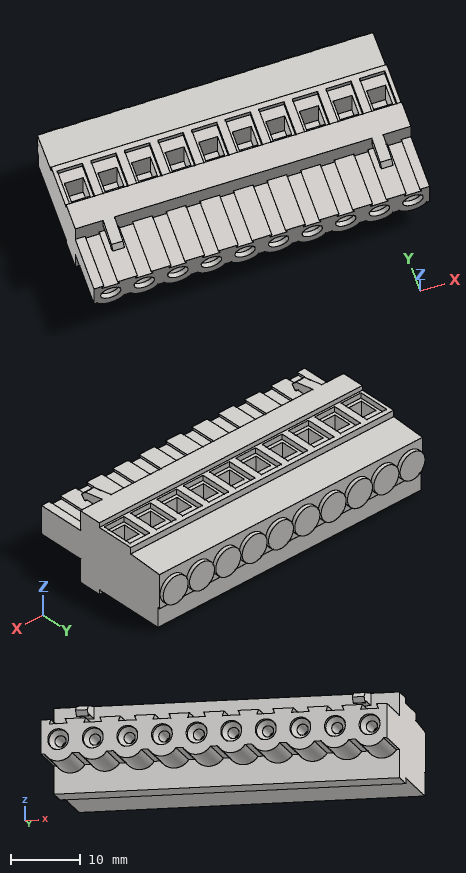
import cadquery as cq

poles = 10
length = 50.75
pitch = length / poles
pole_centers = [pitch * (i + 0.5) for i in range(poles)]

height = 12.6
flange_front = 8.3
flange_back = 12.4
body_bottom = 0.8
entry_top = 11.75
entry_back = 19.1
slope_front = 10.65
slope_back = 10.25
back_face = 25.2
back_step_depth = 0.3
back_step_z = 4.25

plug_top = 9.15
plug_web_bottom = 4.1
lobe_bottom = 3.0
lobe_width = 4.1
slot_depth = 0.65
slot_top_width = 2.1
slot_floor_width = 2.6

socket_z = 6.2
socket_mouth = 3.05
socket_bore = 1.6
socket_counterbore = 0.75
socket_taper_end = 1.5
socket_depth = 6.1

pocket_front = 12.75
pocket_back = 18.2
pocket_width = 3.8
pocket_depth = 0.9
shaft_front = 13.35
shaft_back = 16.45
shaft_width = 2.85
shaft_floor = 6.1

boss_diameter = 4.8
boss_z = 6.75
boss_back = 25.9

latch_width = 1.7
latch_inset = 5.05
latch_bottom = 10.75
latch_nose_y = 4.6
latch_nose_z = 11.9
latch_tip_y = 3.9
latch_tip_z = 11.15
latch_hook_front = 4.55
latch_hook_back = 4.7
latch_hook_z = 10.4
latch_hook_root_y = 5.1


def extrude_profile(points, center_x, width):
    """Extrude a (Y, Z) outline along X, centred on center_x."""
    return cq.Workplane("YZ", origin=(center_x - width / 2, 0, 0)).polyline(points).close().extrude(width)


def box_between(center_x, width, y_range, z_range):
    """Box centred on center_x that spans the given Y and Z ranges."""
    front, back = y_range
    bottom, top = z_range
    return extrude_profile([(front, bottom), (back, bottom), (back, top), (front, top)], center_x, width)


def make_housing():
    outline = [
        (flange_front, 0),
        (flange_back, 0),
        (flange_back, body_bottom),
        (back_face - back_step_depth, body_bottom),
        (back_face - back_step_depth, back_step_z),
        (back_face, back_step_z),
        (back_face, slope_back),
        (entry_back, slope_front),
        (entry_back, entry_top),
        (flange_back, entry_top),
        (flange_back, height),
        (flange_front, height),
    ]
    return extrude_profile(outline, length / 2, length)


def make_plug():
    """Plug nose: rounded lobes below and dovetail slots above, one of each per pole."""
    outline = cq.Workplane("XZ").moveTo(0, plug_top).lineTo(0, plug_web_bottom)
    for x in pole_centers:
        outline = outline.lineTo(x - lobe_width / 2, plug_web_bottom)
        outline = outline.threePointArc((x, lobe_bottom), (x + lobe_width / 2, plug_web_bottom))
    outline = outline.lineTo(length, plug_web_bottom).lineTo(length, plug_top)
    slot_floor = plug_top - slot_depth
    for x in reversed(pole_centers):
        outline = outline.lineTo(x + slot_top_width / 2, plug_top)
        outline = outline.lineTo(x + slot_floor_width / 2, slot_floor)
        outline = outline.lineTo(x - slot_floor_width / 2, slot_floor)
        outline = outline.lineTo(x - slot_top_width / 2, plug_top)
    return outline.close().extrude(-flange_front)


def make_socket(x):
    """Blind pin bore behind a straight mouth and a conical taper, revolved about its own axis."""
    half_section = [
        (0, 0),
        (socket_mouth / 2, 0),
        (socket_mouth / 2, socket_counterbore),
        (socket_bore / 2, socket_taper_end),
        (socket_bore / 2, socket_depth),
        (0, socket_depth),
    ]
    section = cq.Workplane("XY", origin=(x, 0, socket_z)).polyline(half_section).close()
    return section.revolve(360, (0, 0, 0), (0, 1, 0))


def make_wire_entry(x):
    """Shallow rectangular pocket with a deeper shaft in its floor."""
    pocket = box_between(x, pocket_width, (pocket_front, pocket_back), (entry_top - pocket_depth, entry_top))
    shaft = box_between(x, shaft_width, (shaft_front, shaft_back), (shaft_floor, entry_top))
    return pocket.union(shaft)


def make_boss(x):
    """Round screw boss, rooted just inside the back face."""
    root = back_face - back_step_depth
    plane = cq.Workplane("XZ", origin=(x, root, boss_z))
    return plane.circle(boss_diameter / 2).extrude(root - boss_back)


def make_latch(x):
    outline = [
        (flange_front, latch_bottom),
        (flange_front, height),
        (latch_nose_y, latch_nose_z),
        (latch_tip_y, latch_tip_z),
        (latch_hook_front, latch_hook_z),
        (latch_hook_back, latch_hook_z),
        (latch_hook_root_y, latch_bottom),
    ]
    return extrude_profile(outline, x, latch_width)


result = make_housing().union(make_plug())
for latch_x in (latch_inset, length - latch_inset):
    result = result.union(make_latch(latch_x))
for pole_x in pole_centers:
    result = result.union(make_boss(pole_x))
    result = result.cut(make_socket(pole_x))
    result = result.cut(make_wire_entry(pole_x))